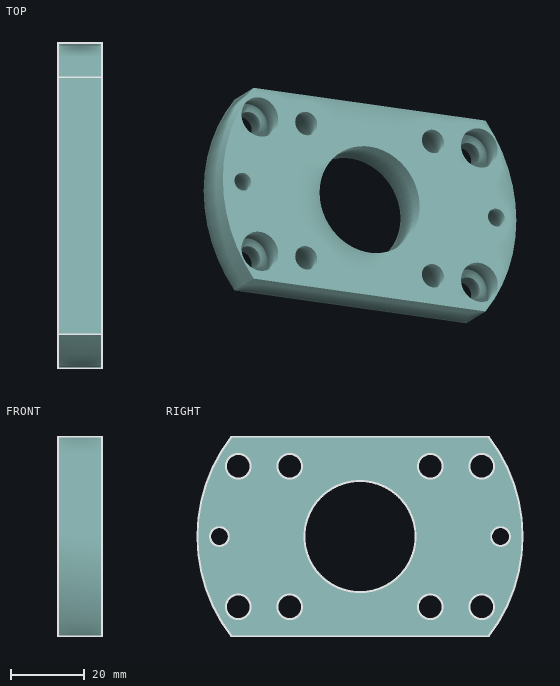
import cadquery as cq
import math

thickness = 12.0
disc_diameter = 88.0
height_across_flats = 54.0
bore_diameter = 30.0

hole_circle_radius = 38.0
outer_bolt_angle = math.radians(30)
outer_bolt_half_spacing = hole_circle_radius * math.cos(outer_bolt_angle)
bolt_half_height = hole_circle_radius * math.sin(outer_bolt_angle)

inner_bolt_half_spacing = bolt_half_height

bolt_hole_diameter = 6.6
counterbore_diameter = 11.0
counterbore_depth = 6.8
pin_hole_diameter = 5.0


def x_cylinder(diameter, length):
    """Cylinder along +X whose first end lies in the plane X = 0."""
    return cq.Workplane("YZ").circle(diameter / 2).extrude(length)


def cut_holes(body, centers, diameter, depth):
    """Cut holes at the (y, z) centers, running in +X from the face X = 0."""
    cutter = x_cylinder(diameter, depth)
    for y, z in centers:
        body = body.cut(cutter.translate((0, y, z)))
    return body


def four_corners(half_spacing, half_height):
    """The (y, z) corners of a rectangle centred on the bore axis."""
    return [(side * half_spacing, level * half_height) for side in (-1, 1) for level in (-1, 1)]


def flange_blank():
    """Round disc cut down to two flats, above and below."""
    disc = x_cylinder(disc_diameter, thickness)
    flats = cq.Workplane("YZ").rect(disc_diameter, height_across_flats).extrude(thickness)
    return disc.intersect(flats)


inner_bolts = four_corners(inner_bolt_half_spacing, bolt_half_height)
outer_bolts = four_corners(outer_bolt_half_spacing, bolt_half_height)
pins = [(-hole_circle_radius, 0), (hole_circle_radius, 0)]

flange = flange_blank()
flange = cut_holes(flange, [(0, 0)], bore_diameter, thickness)
flange = cut_holes(flange, inner_bolts + outer_bolts, bolt_hole_diameter, thickness)
flange = cut_holes(flange, outer_bolts, counterbore_diameter, counterbore_depth)
flange = cut_holes(flange, pins, pin_hole_diameter, thickness)

result = flange